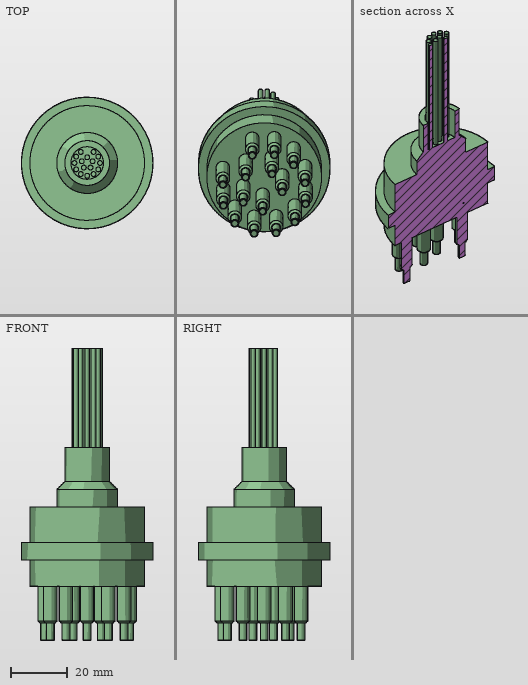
import cadquery as cq
import math

PIN_LENGTH = 19.2
BODY_DIAMETER = 40.5
LOWER_BODY_HEIGHT = 9.2
FLANGE_DIAMETER = 46.5
FLANGE_HEIGHT = 6.3
UPPER_BODY_HEIGHT = 12.5
SHOULDER_DIAMETER = 21.5
SHOULDER_HEIGHT = 6.15
SLEEVE_DIAMETER = 15.8
SLEEVE_HEIGHT = 12.0
SLEEVE_BORE_DIAMETER = 11.5

PIN_DIAMETER = 4.8
PIN_TIP_DIAMETER = 2.8
PIN_TIP_LENGTH = 6.2
PIN_STEP_CHAMFER = 0.8
PIN_TIP_CHAMFER = 0.3
PIN_OUTER_RADIUS = 15.0
PIN_INNER_RADIUS = 7.5
PIN_INNER_CENTRE_Y = 1.6
PIN_INNER_UPPER_ANGLE = 12.5
PIN_INNER_LOWER_ANGLE = -48.5

WIRE_DIAMETER = 1.7
WIRE_FREE_LENGTH = 35.0
WIRE_OUTER_RADIUS = 4.5
WIRE_INNER_RADIUS = 2.0
WIRE_INNER_COUNT = 5

OUTER_POSITIONS = 12
KEY_ANGLE = 90.0

body_bottom = PIN_LENGTH
flange_bottom = body_bottom + LOWER_BODY_HEIGHT
flange_top = flange_bottom + FLANGE_HEIGHT
body_top = flange_top + UPPER_BODY_HEIGHT
shoulder_top = body_top + SHOULDER_HEIGHT
sleeve_bottom = shoulder_top + (SHOULDER_DIAMETER - SLEEVE_DIAMETER) / 2
sleeve_top = sleeve_bottom + SLEEVE_HEIGHT
wire_top = sleeve_top + WIRE_FREE_LENGTH


def revolve_about_z(profile):
    """Revolve (radius, z) points about the Z axis; the first and last lie on the axis."""
    return cq.Workplane("XZ").polyline(profile).close().revolve(360, (0, 0), (0, 1))


def point_at(radius, angle):
    """XY point at a radius and an angle in degrees."""
    return (radius * math.cos(math.radians(angle)), radius * math.sin(math.radians(angle)))


def outer_ring(radius):
    """Evenly spaced positions, with the one at the key angle left empty."""
    step = 360 / OUTER_POSITIONS
    return [point_at(radius, KEY_ANGLE + i * step) for i in range(1, OUTER_POSITIONS)]


def inner_wire_points():
    """Evenly spaced inner ring of wires, centred on the Z axis."""
    step = 360 / WIRE_INNER_COUNT
    return [point_at(WIRE_INNER_RADIUS, KEY_ANGLE + i * step) for i in range(WIRE_INNER_COUNT)]


def inner_pin_points():
    """One pin on the Y axis and two mirrored pairs, on a circle set off towards +Y."""
    right_angles = [PIN_INNER_UPPER_ANGLE, PIN_INNER_LOWER_ANGLE]
    left_angles = [180 - angle for angle in right_angles]
    points = []
    for angle in [KEY_ANGLE] + right_angles + left_angles:
        x, y = point_at(PIN_INNER_RADIUS, angle)
        points.append((x, y + PIN_INNER_CENTRE_Y))
    return points


def make_housing():
    """Flanged round body with a coned shoulder and a bored cable sleeve."""
    body_radius = BODY_DIAMETER / 2
    flange_radius = FLANGE_DIAMETER / 2
    shoulder_radius = SHOULDER_DIAMETER / 2
    sleeve_radius = SLEEVE_DIAMETER / 2
    bore_radius = SLEEVE_BORE_DIAMETER / 2
    return revolve_about_z([
        (0, body_bottom),
        (body_radius, body_bottom),
        (body_radius, flange_bottom),
        (flange_radius, flange_bottom),
        (flange_radius, flange_top),
        (body_radius, flange_top),
        (body_radius, body_top),
        (shoulder_radius, body_top),
        (shoulder_radius, shoulder_top),
        (sleeve_radius, sleeve_bottom),
        (sleeve_radius, sleeve_top),
        (bore_radius, sleeve_top),
        (bore_radius, sleeve_bottom),
        (0, sleeve_bottom),
    ])


def make_pin():
    """Stepped pin on the Z axis with a chamfered shank end and a chamfered tip."""
    shank_radius = PIN_DIAMETER / 2
    tip_radius = PIN_TIP_DIAMETER / 2
    return revolve_about_z([
        (0, 0),
        (tip_radius - PIN_TIP_CHAMFER, 0),
        (tip_radius, PIN_TIP_CHAMFER),
        (tip_radius, PIN_TIP_LENGTH),
        (shank_radius - PIN_STEP_CHAMFER, PIN_TIP_LENGTH),
        (shank_radius, PIN_TIP_LENGTH + PIN_STEP_CHAMFER),
        (shank_radius, body_bottom),
        (0, body_bottom),
    ])


def make_wires():
    """Straight round wires standing on the floor of the sleeve bore."""
    points = outer_ring(WIRE_OUTER_RADIUS) + inner_wire_points()
    base = cq.Workplane("XY").workplane(offset=sleeve_bottom)
    return base.pushPoints(points).circle(WIRE_DIAMETER / 2).extrude(wire_top - sleeve_bottom)


result = make_housing().union(make_wires())
pin = make_pin()
for x, y in outer_ring(PIN_OUTER_RADIUS) + inner_pin_points():
    result = result.union(pin.translate((x, y, 0)))